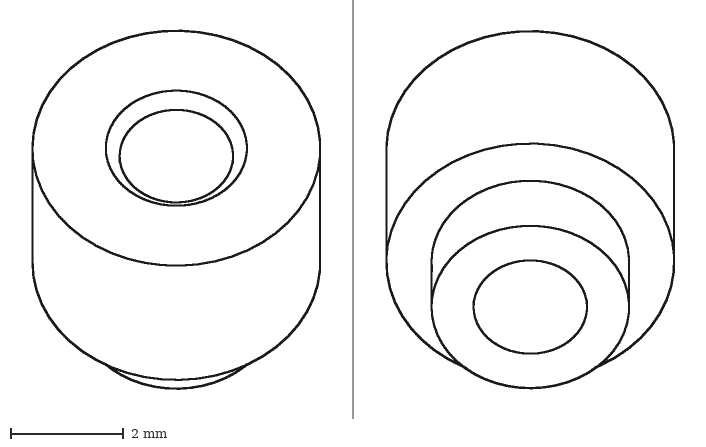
import cadquery as cq

body_diameter = 5.1
spigot_diameter = 3.5
bore_diameter = 2.01
total_height = 4.9
body_height = 3.5
countersink_diameter = 2.5

spigot_height = total_height - body_height
countersink_depth = (countersink_diameter - bore_diameter) / 2

spigot = cq.Workplane("XY").circle(spigot_diameter / 2).extrude(spigot_height)
body = (
    cq.Workplane("XY")
    .workplane(offset=spigot_height)
    .circle(body_diameter / 2)
    .extrude(body_height)
)

bore = (
    cq.Workplane("XY")
    .circle(bore_diameter / 2)
    .extrude(total_height)
)
countersink = (
    cq.Workplane("XY")
    .workplane(offset=total_height - countersink_depth)
    .circle(bore_diameter / 2)
    .workplane(offset=countersink_depth)
    .circle(countersink_diameter / 2)
    .loft(ruled=True)
)

result = spigot.union(body).cut(bore).cut(countersink)